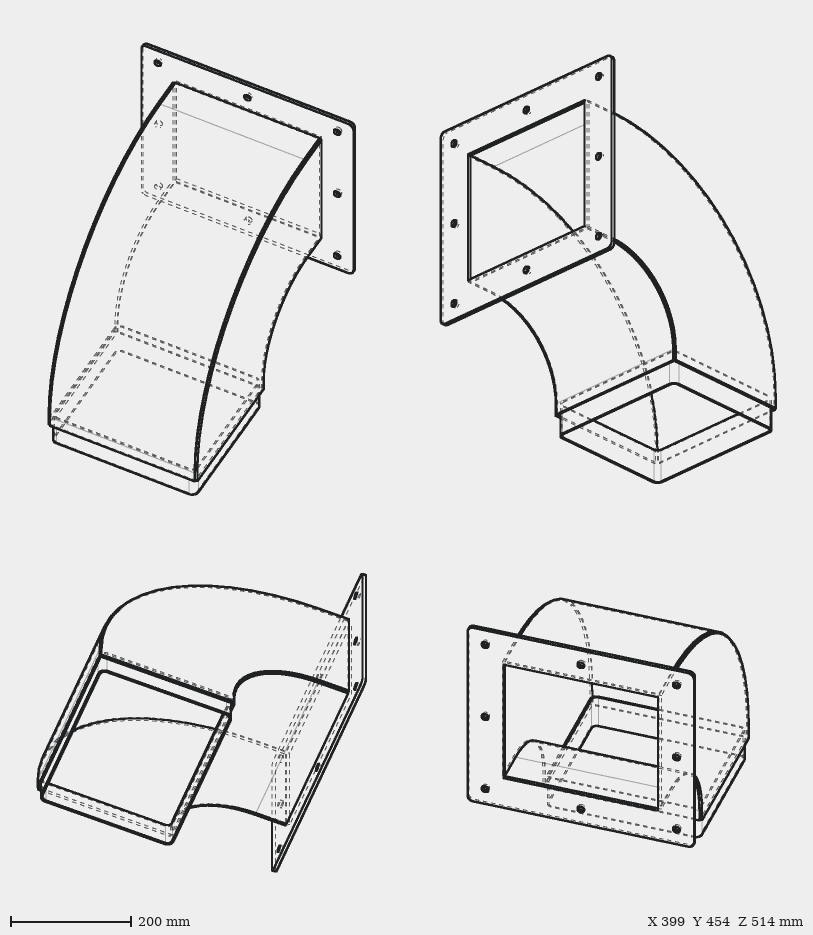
import cadquery as cq
import math

FLANGE_WIDTH = 399.0
FLANGE_HEIGHT = 364.0
FLANGE_THICKNESS = 6.0
FLANGE_CORNER_RADIUS = 10.5
FLANGE_TOP = 514.0
HOLE_DIAMETER = 12.0
HOLE_INSET = 31.0

DUCT_WIDTH = 280.0
CHEEK_THICKNESS = 4.0
SKIN_THICKNESS = 2.5
DUCT_DEPTH = 243.0
DUCT_FRONT = -454.0
DUCT_TOP = 453.0
BEND_RADIUS = 392.5
OUTLET_Z = 39.5

COLLAR_CORNER_RADIUS = 11.5
COLLAR_WALL = 2.5

CAVITY_WIDTH = DUCT_WIDTH - 2 * CHEEK_THICKNESS
CAVITY_DEPTH = DUCT_DEPTH - 2 * SKIN_THICKNESS
BEND_Y = DUCT_FRONT + BEND_RADIUS
FLANGE_Z = FLANGE_TOP - FLANGE_HEIGHT / 2
BEND_Z = DUCT_TOP - BEND_RADIUS
INNER_RADIUS = BEND_RADIUS - DUCT_DEPTH
DUCT_Z = DUCT_TOP - DUCT_DEPTH / 2
OUTLET_Y = DUCT_FRONT + DUCT_DEPTH / 2


def make_flange():
    """Rounded plate with eight bolt holes and an opening as large as the duct cavity."""
    plate = (
        cq.Workplane("XZ")
        .center(0, FLANGE_Z)
        .rect(FLANGE_WIDTH, FLANGE_HEIGHT)
        .extrude(FLANGE_THICKNESS)
        .edges("|Y")
        .fillet(FLANGE_CORNER_RADIUS)
    )
    hole_x = FLANGE_WIDTH / 2 - HOLE_INSET
    hole_z = FLANGE_HEIGHT / 2 - HOLE_INSET
    hole_places = [
        (column * hole_x, row * hole_z)
        for column in (-1, 0, 1)
        for row in (-1, 0, 1)
        if (column, row) != (0, 0)
    ]
    holes = (
        cq.Workplane("XZ")
        .center(0, FLANGE_Z)
        .pushPoints(hole_places)
        .circle(HOLE_DIAMETER / 2)
        .extrude(FLANGE_THICKNESS)
    )
    opening = (
        cq.Workplane("XZ")
        .center(0, DUCT_Z)
        .rect(CAVITY_WIDTH, CAVITY_DEPTH)
        .extrude(FLANGE_THICKNESS)
    )
    return plate.cut(holes).cut(opening)


def make_elbow_strip(outer_radius, inner_radius, left_x, width):
    """Quarter bend between two radii, with straight ends at the flange and the outlet."""
    diagonal = math.sqrt(0.5)
    return (
        cq.Workplane("YZ", origin=(left_x, 0, 0))
        .moveTo(-FLANGE_THICKNESS, BEND_Z + outer_radius)
        .lineTo(BEND_Y, BEND_Z + outer_radius)
        .threePointArc(
            (BEND_Y - outer_radius * diagonal, BEND_Z + outer_radius * diagonal),
            (BEND_Y - outer_radius, BEND_Z),
        )
        .lineTo(BEND_Y - outer_radius, OUTLET_Z)
        .lineTo(BEND_Y - inner_radius, OUTLET_Z)
        .lineTo(BEND_Y - inner_radius, BEND_Z)
        .threePointArc(
            (BEND_Y - inner_radius * diagonal, BEND_Z + inner_radius * diagonal),
            (BEND_Y, BEND_Z + inner_radius),
        )
        .lineTo(-FLANGE_THICKNESS, BEND_Z + inner_radius)
        .close()
        .extrude(width)
    )


def make_skin(outer_radius):
    """Curved wall as wide as the cavity, standing proud of the cheek edges."""
    return make_elbow_strip(outer_radius, outer_radius - SKIN_THICKNESS, -CAVITY_WIDTH / 2, CAVITY_WIDTH)


def make_cheek(left_x):
    """Flat side wall, as deep as the cavity between the skins."""
    return make_elbow_strip(
        BEND_RADIUS - SKIN_THICKNESS, INNER_RADIUS + SKIN_THICKNESS, left_x, CHEEK_THICKNESS
    )


def make_collar():
    """Rounded rectangular tube that fills the straight outlet end of the duct."""
    return (
        cq.Workplane("XY")
        .center(0, OUTLET_Y)
        .rect(CAVITY_WIDTH, CAVITY_DEPTH)
        .extrude(BEND_Z)
        .edges("|Z")
        .fillet(COLLAR_CORNER_RADIUS)
        .faces("<Z or >Z")
        .shell(-COLLAR_WALL)
    )


flange = make_flange()
outer_skin = make_skin(BEND_RADIUS)
inner_skin = make_skin(INNER_RADIUS + SKIN_THICKNESS)
cheeks = [make_cheek(left_x) for left_x in (-DUCT_WIDTH / 2, CAVITY_WIDTH / 2)]
collar = make_collar()

result = cq.Compound.makeCompound(
    [
        flange.val(),
        outer_skin.val(),
        inner_skin.val(),
        *[cheek.val() for cheek in cheeks],
        collar.val(),
    ]
)